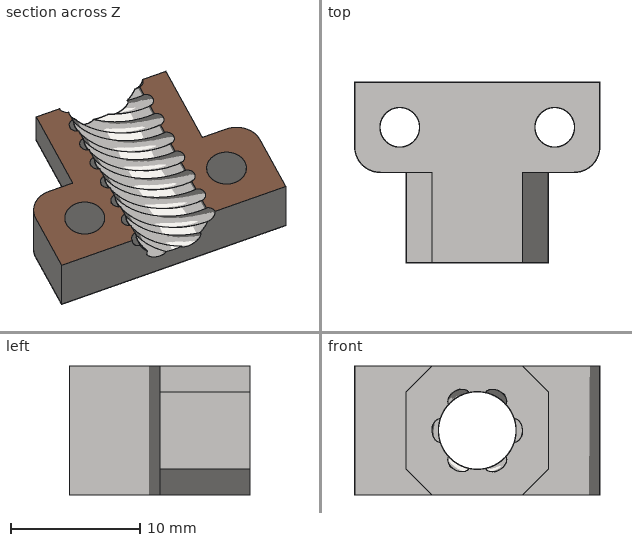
import cadquery as cq
import math

flange_width = 19.0
flange_depth = 7.0
height = 10.0
corner_radius = 2.0

stem_width = 11.0
stem_length = 7.0
stem_chamfer = 2.0
total_depth = flange_depth + stem_length

mount_hole_diameter = 3.05
mount_hole_spacing = 12.0

bore_diameter = 6.0
thread_major_diameter = 7.0
groove_radius = 0.6
thread_starts = 6
thread_lead = 12.0
groove_center_radius = thread_major_diameter / 2 - groove_radius
full_turn = 360.0
thread_twist = full_turn * total_depth / thread_lead


def make_flange():
    """Flange block, centred on X and Z, behind the stem."""
    return (
        cq.Workplane("XY", origin=(0, stem_length, 0))
        .box(flange_width, flange_depth, height, centered=(True, False, True))
        .edges("|Z and <Y")
        .fillet(corner_radius)
    )


def make_stem():
    """Bar with its four lengthwise edges chamfered; its front face lies at Y = 0."""
    return (
        cq.Workplane("XY")
        .box(stem_width, stem_length, height, centered=(True, False, True))
        .edges("|Y")
        .chamfer(stem_chamfer)
    )


def make_mount_holes():
    """Pair of vertical cylinders at mid-depth of the flange."""
    hole_x = mount_hole_spacing / 2
    hole_y = stem_length + flange_depth / 2
    return (
        cq.Workplane("XY", origin=(0, 0, -height / 2))
        .pushPoints([(-hole_x, hole_y), (hole_x, hole_y)])
        .circle(mount_hole_diameter / 2)
        .extrude(height)
    )


def make_bore():
    """Cylinder through the whole depth along Y."""
    return cq.Workplane("XZ").circle(bore_diameter / 2).extrude(-total_depth)


def groove_section_point(t):
    """Point on the cross-section of a helical groove that is round in a plane through the bore axis.

    An axial offset on the circle turns into an angle, because the groove advances one lead per turn.
    t runs from 0 to 1, and the curve starts and ends at its innermost point, inside the bore.
    """
    around = math.pi * (2 * t - 1)
    radius = groove_center_radius + groove_radius * math.cos(around)
    angle = 2 * math.pi * groove_radius * math.sin(around) / thread_lead
    return radius * math.cos(angle), radius * math.sin(angle)


def make_groove(front_angle):
    """Groove wound around the bore axis from the back face to front_angle on the front face."""
    return (
        cq.Workplane("XZ", origin=(0, total_depth, 0))
        .transformed(rotate=(0, 0, front_angle - thread_twist))
        .parametricCurve(groove_section_point)
        .twistExtrude(total_depth, thread_twist)
    )


result = make_flange().union(make_stem()).cut(make_mount_holes()).cut(make_bore())
for start in range(thread_starts):
    result = result.cut(make_groove(start * full_turn / thread_starts))